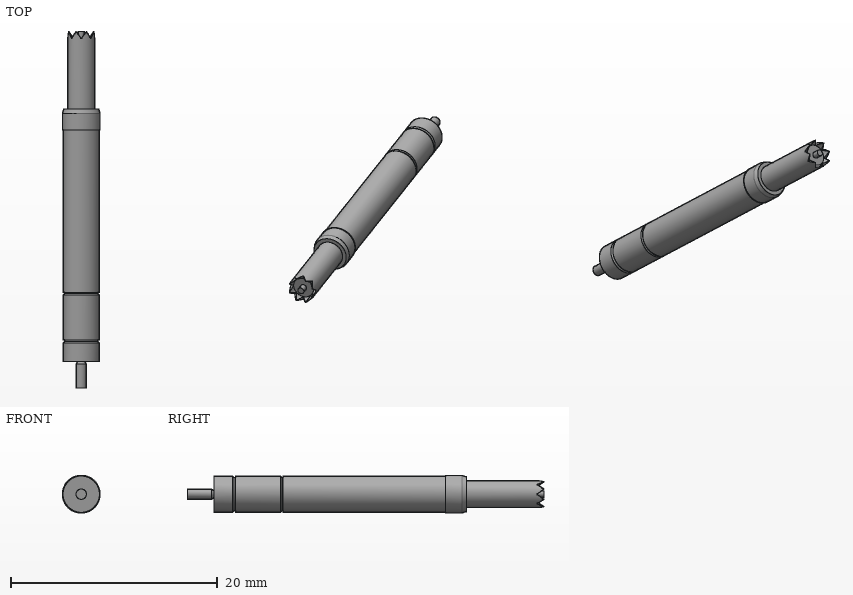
import cadquery as cq
import math

TOTAL_LENGTH = 34.5
PLUNGER_LENGTH = 7.5
NOSE_LENGTH = 0.45
COLLAR_LENGTH = 1.6
TAIL_LENGTH = 2.55
NECK_LENGTH = 0.2

COLLAR_RADIUS = 1.83
BARREL_RADIUS = 1.75
PLUNGER_RADIUS = 1.3
TAIL_DIAMETER = 1.0
NECK_RADIUS = 0.35
NOSE_RADIUS = 1.7

REAR_GROOVE_START = 1.8
REAR_GROOVE_WIDTH = 0.3
FRONT_GROOVE_START = 6.45
FRONT_GROOVE_WIDTH = 0.25
GROOVE_DEPTH = 0.15

TOOTH_COUNT = 8
CROWN_DEPTH = 0.7
CROWN_FLOOR_RADIUS = 1.05
TIP_THICKNESS = 0.05
CENTRE_PIN_RADIUS = 0.3

tail_radius = TAIL_DIAMETER / 2
nose_y = TOTAL_LENGTH - PLUNGER_LENGTH
collar_front_y = nose_y - NOSE_LENGTH
collar_rear_y = collar_front_y - COLLAR_LENGTH
crown_floor_y = TOTAL_LENGTH - CROWN_DEPTH


def cylinder(radius, start_y, end_y):
    """Cylinder on the Y axis between two Y positions."""
    plane = cq.Plane(origin=(0, start_y, 0), xDir=(1, 0, 0), normal=(0, 1, 0))
    return cq.Workplane(plane).circle(radius).extrude(end_y - start_y)


def turned(profile):
    """Solid of revolution about Y from a closed outline of (radius, y) points."""
    return cq.Workplane("XY").polyline(profile).close().revolve(360, (0, 0), (0, 1))


def make_barrel():
    """Turned barrel: grooved body, press-fit collar and tapered nose."""
    rear_groove = barrel_groove(TAIL_LENGTH + REAR_GROOVE_START, REAR_GROOVE_WIDTH)
    front_groove = barrel_groove(TAIL_LENGTH + FRONT_GROOVE_START, FRONT_GROOVE_WIDTH)
    profile = [
        (0, TAIL_LENGTH),
        (BARREL_RADIUS, TAIL_LENGTH),
        *rear_groove,
        *front_groove,
        (BARREL_RADIUS, collar_rear_y),
        (COLLAR_RADIUS, collar_rear_y),
        (COLLAR_RADIUS, collar_front_y),
        (NOSE_RADIUS, nose_y),
        (0, nose_y),
    ]
    return turned(profile)


def barrel_groove(start_y, width):
    """Outline points of a groove, rear to front: sloped rear side, flat floor, square front side."""
    floor_radius = BARREL_RADIUS - GROOVE_DEPTH
    return [
        (BARREL_RADIUS, start_y),
        (floor_radius, start_y + width / 2),
        (floor_radius, start_y + width),
        (BARREL_RADIUS, start_y + width),
    ]


def make_crown_recess():
    """Ring-shaped recess that leaves sharp-edged teeth around the centre pin."""
    profile = [
        (CENTRE_PIN_RADIUS, crown_floor_y),
        (CROWN_FLOOR_RADIUS, crown_floor_y),
        (PLUNGER_RADIUS - TIP_THICKNESS, TOTAL_LENGTH),
        (CENTRE_PIN_RADIUS, TOTAL_LENGTH),
    ]
    return turned(profile)


def make_notch():
    """V notch through the ring wall on the +Z side, clear of the centre pin."""
    half_width = PLUNGER_RADIUS * math.sin(math.pi / TOOTH_COUNT)
    return (
        cq.Workplane("XY")
        .moveTo(0, crown_floor_y)
        .lineTo(half_width, TOTAL_LENGTH)
        .lineTo(-half_width, TOTAL_LENGTH)
        .close()
        .extrude(PLUNGER_RADIUS)
        .cut(cylinder(CENTRE_PIN_RADIUS, crown_floor_y, TOTAL_LENGTH))
    )


def make_plunger():
    """Plunger shaft with its toothed crown."""
    plunger = cylinder(PLUNGER_RADIUS, collar_front_y, TOTAL_LENGTH).cut(make_crown_recess())
    notch = make_notch()
    for index in range(TOOTH_COUNT):
        plunger = plunger.cut(notch.rotate((0, 0, 0), (0, 1, 0), index * 360 / TOOTH_COUNT))
    return plunger


def make_tail():
    """Terminal pin that narrows to a short tapered neck at the barrel."""
    profile = [
        (0, 0),
        (tail_radius, 0),
        (tail_radius, TAIL_LENGTH - NECK_LENGTH),
        (NECK_RADIUS, TAIL_LENGTH),
        (0, TAIL_LENGTH),
    ]
    return turned(profile)


result = make_barrel().union(make_plunger()).union(make_tail())